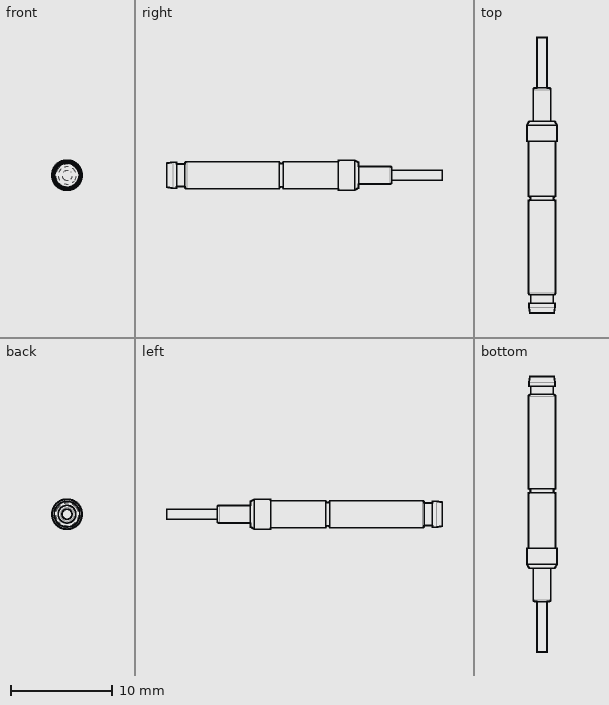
import cadquery as cq
import math


pin_radius = 0.5
pin_length = 5.0
sleeve_radius = 0.875
sleeve_length = 3.3
sleeve_fillet = 0.2

collar_radius = 1.5
collar_length = 2.0
collar_chamfer_length = 0.4
collar_chamfer_angle = 30

body_radius = 1.35
body_length = 15.2
rear_fillet = 0.2
groove_start = 5.45
groove_width = 0.4

neck_radius = 1.125
neck_length = 0.8
button_radius = 1.3
button_length = 1.0
button_end_radius = 1.2
button_taper_length = 0.6


def cylinder(radius, y_top, length):
    """Solid cylinder on the Y axis running from y_top towards -Y."""
    return cq.Workplane("XZ", origin=(0, y_top, 0)).circle(radius).extrude(length)


def make_plunger():
    sleeve = cylinder(sleeve_radius, collar_length + sleeve_length, sleeve_length)
    sleeve = sleeve.faces(">Y").edges().fillet(sleeve_fillet)
    pin = cylinder(pin_radius, collar_length + sleeve_length + pin_length, pin_length)
    return sleeve.union(pin)


def make_collar():
    """Collar with a steep cone leading from its front face to its full diameter."""
    front_radius = collar_radius - collar_chamfer_length * math.tan(math.radians(collar_chamfer_angle))
    cone_base = collar_length - collar_chamfer_length
    return (
        cq.Workplane("XY")
        .lineTo(collar_radius, 0)
        .lineTo(collar_radius, cone_base)
        .lineTo(front_radius, collar_length)
        .lineTo(0, collar_length)
        .close()
        .revolve(360, (0, 0), (0, 1))
    )


def make_groove():
    """Ring of round section, sunk into the body by half its diameter."""
    return (
        cq.Workplane("XY")
        .center(body_radius, -groove_start - groove_width / 2)
        .circle(groove_width / 2)
        .revolve(360, (-body_radius, 0), (-body_radius, 1))
    )


def make_body():
    body = cylinder(body_radius, 0, body_length)
    body = body.faces("<Y").edges().fillet(rear_fillet)
    return body.cut(make_groove())


def make_button():
    """Neck and button; the button tapers to its flat end face."""
    button_top = -body_length - neck_length
    button_end = button_top - button_length
    neck = cylinder(neck_radius, -body_length, neck_length)
    taper_start = button_end + button_taper_length
    button = (
        cq.Workplane("XY")
        .moveTo(0, button_top)
        .lineTo(button_radius, button_top)
        .lineTo(button_radius, taper_start)
        .lineTo(button_end_radius, button_end)
        .lineTo(0, button_end)
        .close()
        .revolve(360, (0, 0), (0, 1))
    )
    return neck.union(button)


result = make_plunger().union(make_collar()).union(make_body()).union(make_button())